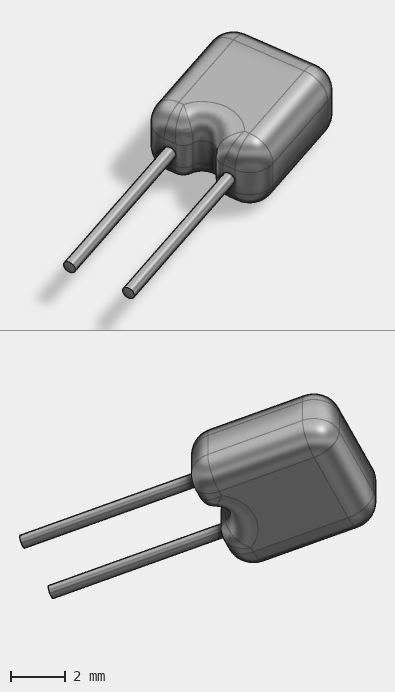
import cadquery as cq
import math

body_width = 5.08
body_length = 5.84
body_thickness = 3.18
edge_radius = 1.016
lead_pitch = 2.54
lead_diameter = 0.508
lead_length = 7.0
notch_radius = 0.538
mouth_radius = 0.538

flat_inner_x = (lead_pitch - lead_diameter) / 2
centre_spacing = notch_radius + mouth_radius
notch_centre_y = mouth_radius - math.sqrt(centre_spacing**2 - flat_inner_x**2)


def make_body():
    """Rounded block with its lead face at Y = 0 and a notch through its full thickness."""
    block = cq.Workplane("XY").box(body_width, body_length, body_thickness, centered=(True, False, True))
    notch = (
        cq.Workplane("XY")
        .center(0, notch_centre_y)
        .circle(notch_radius)
        .extrude(body_thickness, both=True)
    )
    mouth_zone = cq.selectors.BoxSelector(
        (-flat_inner_x, -flat_inner_x, -body_thickness),
        (flat_inner_x, flat_inner_x, body_thickness),
    )
    notched = block.cut(notch)
    notched = notched.edges("|Z").edges(mouth_zone).fillet(mouth_radius)
    notched = notched.edges("|Z and (<X or >X)").fillet(edge_radius)
    return notched.faces("<Z or >Z").edges().fillet(edge_radius)


def make_lead(x):
    """Straight round wire running from the lead face toward -Y."""
    return cq.Workplane("XZ").center(x, 0).circle(lead_diameter / 2).extrude(lead_length)


body = make_body()
leads = [make_lead(side * lead_pitch / 2) for side in (-1, 1)]

result = cq.Compound.makeCompound([body.solids().val(), *[lead.val() for lead in leads]])